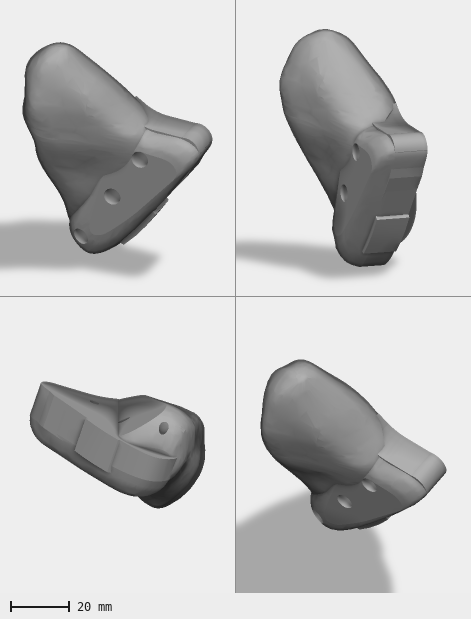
import cadquery as cq


GRIP_SECTIONS = [
    (6.7, (15.15, -3.25), (16.3, -7.3), (20.35, -10.6), (25.25, -10.6), (30.1, -9.8), (30.1, -1.6), (24.4, 0.8), (16.7, 0.4)),
    (9.4, (13.2, 0.8), (14.5, -8.95), (18.7, -11.8), (25.25, -11.8), (32.6, -11.4), (34.2, -0.8), (24.4, 7.1), (15.15, 6.1)),
    (13, (11.65, 2.45), (13.4, -9.8), (17.5, -13.2), (24.4, -13.2), (33.4, -12.6), (35, 0.8), (23.2, 10.75), (13.7, 8.6)),
    (17.9, (10.1, 1.6), (12.4, -10.6), (16.3, -14.65), (24.4, -15.1), (34.2, -13.85), (35.8, 1.6), (22, 12.8), (12.05, 8.95)),
    (32.6, (6.5, -0.8), (8.95, -18.7), (12.2, -21.2), (24.4, -19.1), (37.45, -15.5), (40.7, 1.6), (19.55, 10.6), (8.6, 6.7)),
    (44.8, (4.1, -4.1), (7.2, -23.85), (10.35, -27.5), (24.4, -23.6), (42.35, -17.1), (45.6, 0), (17.9, 7.7), (5.7, 3.7)),
    (52.9, (2.2, -6.5), (6.5, -28.2), (9.5, -30.95), (23.6, -26.3), (40.7, -18.3), (42.75, -5.7), (16.3, 5.05), (4.5, 1.05)),
    (58.6, (1.2, -8.15), (6.2, -29.5), (9.4, -32.1), (22, -27.7), (33.4, -21.6), (35.8, -3.25), (15.9, 3.25), (4.1, -0.8)),
    (64.3, (0.4, -9.8), (6.35, -29.5), (9.3, -32.3), (19.55, -28.7), (27.45, -24.4), (30.5, -4.9), (15.1, 1.0), (4.1, -3.25)),
    (70.85, (1.5, -11.4), (6.9, -28.1), (10.2, -30.05), (17.1, -27.9), (21.75, -25.1), (24.6, -7.7), (14.25, -3.25), (4.7, -4.9)),
    (76.55, (4.9, -13.85), (8.15, -25.25), (11.0, -27.1), (14.25, -26.05), (16.9, -24.3), (19.1, -10.6), (14.0, -7.3), (7.65, -8.5)),
    (80.2, (8.95, -16.3), (10.2, -20.35), (12.2, -21.8), (13.85, -21.8), (15.5, -20.8), (16.7, -14.65), (13.85, -12.6), (10.6, -13.4)),
    (81.35, (12.6, -17.1), (12.8, -17.9), (13.2, -18.15), (13.7, -18.15), (14.0, -17.9), (14.1, -16.7), (13.5, -16.3),
     (12.9, -16.45)),
]
CUT_SUM = 35
CUT_SIZE = 162.9

WING_RIM = [
    (44.55, 52.8), (53.1, 51.95), (59.7, 50.5), (62.7, 47.2), (60.7, 41.85), (56.2, 35.1),
    (45.9, 21.5), (35, 8.15), (28.0, 2.1), (21.3, 0), (16.3, 3.5), (13.7, 8.95),
    (17.1, 20.35), (25.25, 36.65), (35.8, 51.05),
]
WING_FRONT = [
    (44.55, 47.1), (51.3, 46.0), (55.8, 44), (57, 41.1), (54.15, 36.65), (50.1, 32.2),
    (39.9, 21.2), (33.0, 15.1), (30.1, 13), (28.1, 12.4), (26.05, 12.6), (25.25, 14.25),
    (26.05, 20.35), (30.1, 35), (38.3, 45.2),
]
RIM_SHARE = 0.65
FRONT_SHARE = 0.7
RIM_Y_AT_ZERO = -6.9
RIM_SLOPE = -0.08
FRONT_Y_AT_ZERO = -19.3
FRONT_SLOPE = 0.02

BLOCK_DEPTH = 12.05
BLOCK_SADDLE = [(34.7, 58.2), (38.8, 55.4)]
BLOCK_SADDLE_MIDDLE = (42.2, 53.75)
BLOCK_TOP = [(46.3, 52.85), (56.4, 52.0)]
BLOCK_TIP_MIDDLE = (61.4, 50.3)
BLOCK_TIP = (62.9, 46.8)
BLOCK_UNDERSIDE = [(58.0, 36.9), (45.8, 21.8), (46.75, 20.6)]
BLOCK_LIP_MIDDLE = (41.4, 13.3)
BLOCK_LIP_END = (35, 6.8)
BLOCK_INNER_SIDE = [(28.5, 9.8), (28.5, 36.65)]

HOLES = [(21.3, 9.9), (33.5, 28.1), (43.6, 44.05)]
SCREW_DIAMETER = 3.2
HEAD_DIAMETER = 6.0
SEAT_DEPTH = 6.0
HOLE_REACH = 48.85


def closed_curve(points):
    """Smooth closed wire through 3D points."""
    edge = cq.Edge.makeSpline([cq.Vector(*p) for p in points], periodic=True)
    return cq.Wire.assembleEdges([edge])


def make_grip():
    wires = [closed_curve([(x, y, z) for x, y in pts]) for z, *pts in GRIP_SECTIONS]
    grip = cq.Workplane(obj=cq.Solid.makeLoft(wires))
    cutter = (
        cq.Workplane("XY")
        .polyline([(CUT_SUM + CUT_SIZE, -CUT_SIZE), (CUT_SUM + CUT_SIZE, CUT_SIZE),
                   (CUT_SUM - CUT_SIZE, CUT_SIZE)])
        .close()
        .extrude(CUT_SIZE)
    )
    return grip.cut(cutter)


def rim_y(x):
    return RIM_Y_AT_ZERO + RIM_SLOPE * x


def front_y(x):
    return FRONT_Y_AT_ZERO + FRONT_SLOPE * x


def between(start, end, share):
    return start + share * (end - start)


def make_wing():
    middle_points = []
    for (rim_x, rim_z), (front_x, front_z) in zip(WING_RIM, WING_FRONT):
        x = between(front_x, rim_x, RIM_SHARE)
        z = between(front_z, rim_z, RIM_SHARE)
        middle_points.append((x, between(rim_y(x), front_y(x), FRONT_SHARE), z))

    back = closed_curve([(x, 0, z) for x, z in WING_RIM])
    rim = closed_curve([(x, rim_y(x), z) for x, z in WING_RIM])
    middle = closed_curve(middle_points)
    front = closed_curve([(x, front_y(x), z) for x, z in WING_FRONT])

    plate = cq.Solid.makeLoft([back, rim], True)
    rounded_front = cq.Solid.makeLoft([rim, middle, front])
    return cq.Workplane(obj=plate).union(cq.Workplane(obj=rounded_front))


def make_block():
    outline = (
        cq.Workplane("XZ")
        .polyline(BLOCK_SADDLE)
        .threePointArc(BLOCK_SADDLE_MIDDLE, BLOCK_TOP[0])
        .lineTo(*BLOCK_TOP[1])
        .threePointArc(BLOCK_TIP_MIDDLE, BLOCK_TIP)
        .polyline(BLOCK_UNDERSIDE, includeCurrent=True)
        .threePointArc(BLOCK_LIP_MIDDLE, BLOCK_LIP_END)
        .polyline(BLOCK_INNER_SIDE, includeCurrent=True)
        .close()
    )
    return outline.extrude(BLOCK_DEPTH)


def make_screw_holes():
    shanks = cq.Workplane("XZ").pushPoints(HOLES).circle(SCREW_DIAMETER / 2).extrude(HOLE_REACH, both=True)
    heads = (
        cq.Workplane("XZ", origin=(0, -SEAT_DEPTH, 0))
        .pushPoints(HOLES)
        .circle(HEAD_DIAMETER / 2)
        .extrude(HOLE_REACH)
    )
    return shanks.union(heads)


result = make_grip().union(make_wing()).union(make_block()).cut(make_screw_holes())